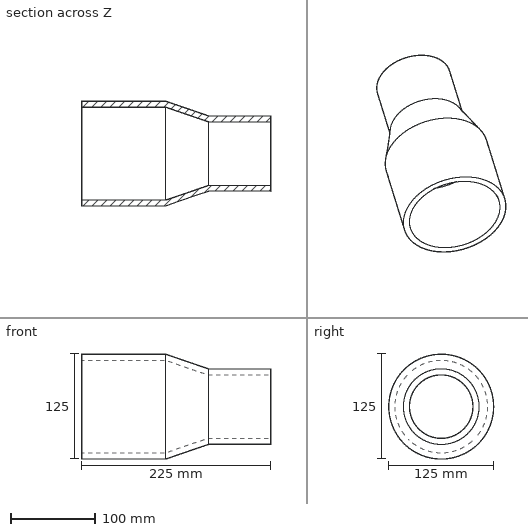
import cadquery as cq

total_length = 225.0
large_length = 100.0
small_length = 74.0
large_outer_diameter = 125.0
large_bore_diameter = 110.2
small_outer_diameter = 90.0
small_bore_diameter = 75.2

taper_start = large_length
taper_end = total_length - small_length


def reducer_body(large_diameter, small_diameter):
    """Solid of revolution: large cylinder, conical taper, small cylinder."""
    large_radius = large_diameter / 2
    small_radius = small_diameter / 2
    return (
        cq.Workplane("XY")
        .moveTo(0, 0)
        .lineTo(0, large_radius)
        .lineTo(taper_start, large_radius)
        .lineTo(taper_end, small_radius)
        .lineTo(total_length, small_radius)
        .lineTo(total_length, 0)
        .close()
        .revolve(360, (0, 0, 0), (1, 0, 0))
    )


outer_body = reducer_body(large_outer_diameter, small_outer_diameter)
bore = reducer_body(large_bore_diameter, small_bore_diameter)

result = outer_body.cut(bore)